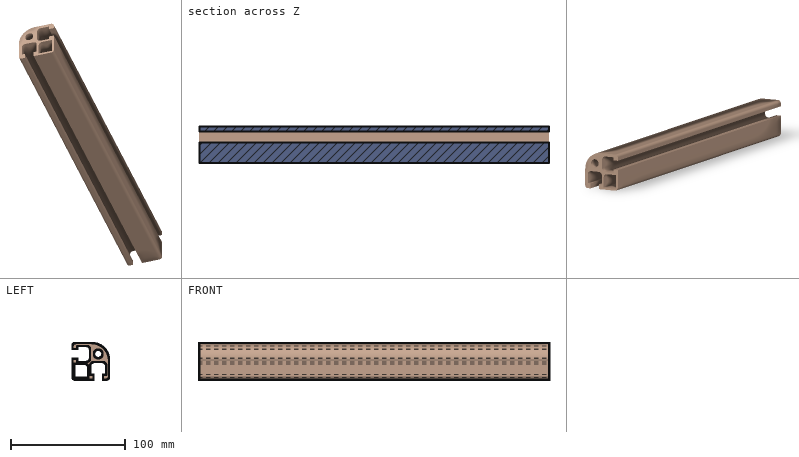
import cadquery as cq

length = 304.8
side = 32.0
outer_round = 15.0
corner_radius = 2.5

slot_inset = 9.5
slot_opening = 8.2
slot_width = 13.7
lip_depth = 4.4
slot_depth = 15.3
slot_corner_radius = 3.0

chamber_wall = 1.8
chamber_side = 12.0
chamber_radius = 3.0

bore_diameter = 7.3

half_side = side / 2
half_length = length / 2
slot_offset = half_side - slot_inset


def box_between(y_min, y_max, z_min, z_max):
    """Full-length bar filling a rectangle of the YZ section."""
    return (
        cq.Workplane("YZ", origin=(-half_length, 0, 0))
        .center((y_min + y_max) / 2, (z_min + z_max) / 2)
        .rect(y_max - y_min, z_max - z_min)
        .extrude(length)
    )


def make_body():
    """Square bar with one large round edge and three small ones."""
    bar = box_between(-half_side, half_side, -half_side, half_side)
    bar = bar.edges("|X and (<Y and >Z)").fillet(outer_round)
    small_edges = "|X and ((>Y and >Z) or (>Y and <Z) or (<Y and <Z))"
    return bar.edges(small_edges).fillet(corner_radius)


def make_side_slot():
    """T-slot void that opens to +Y, with rounded corners at its floor."""
    cavity = box_between(
        half_side - slot_depth,
        half_side - lip_depth,
        slot_offset - slot_width / 2,
        slot_offset + slot_width / 2,
    )
    cavity = cavity.edges("|X and <Y").fillet(slot_corner_radius)
    mouth = box_between(
        half_side - slot_depth / 2,
        half_side,
        slot_offset - slot_opening / 2,
        slot_offset + slot_opening / 2,
    )
    return cavity.union(mouth)


def make_bottom_slot():
    """The side slot mirrored across the profile's diagonal, so it opens to -Z."""
    diagonal_normal = cq.Vector(0, 1, 1)
    return make_side_slot().mirror(diagonal_normal)


def make_chamber():
    """Closed square void with its innermost edge rounded."""
    outer_face = half_side - chamber_wall
    inner_face = outer_face - chamber_side
    chamber = box_between(inner_face, outer_face, -outer_face, -inner_face)
    return chamber.edges("|X and (<Y and >Z)").fillet(chamber_radius)


def make_bore():
    """Round hole along the full length."""
    return (
        cq.Workplane("YZ", origin=(-half_length, 0, 0))
        .center(-slot_offset, slot_offset)
        .circle(bore_diameter / 2)
        .extrude(length)
    )


result = make_body()
for void in (make_side_slot(), make_bottom_slot(), make_chamber(), make_bore()):
    result = result.cut(void)